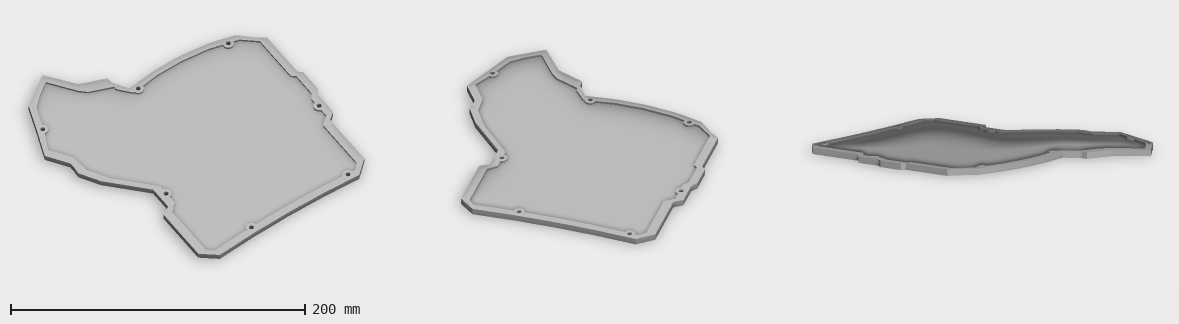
import cadquery as cq


plate_thickness = 4.5
pocket_depth = 1.5
floor_thickness = plate_thickness - pocket_depth

screw_hole_diameter = 3.3
boss_diameter = 7.5
screw_centers = [
    (33.6, 84.3),
    (92.3, 66.5),
    (90.5, -13.0),
    (33.6, -43.5),
    (-59.5, -80.0),
    (-49.7, -7.2),
    (-45.3, 64.9),
]

rim_right_bottom = (97.1, -44.0)
rim_right_middle = (95.0, 14.2)
rim_right_top = (97.1, 72.5)

rim_lower_edge = [
    (87.8, -55.4),
    (47.4, -55.4),
    (43.3, -48.8),
    (25.8, -48.8),
    (-0.5, -73.5),
    (-15.2, -82.2),
    (-20.4, -81.5),
    (-24.9, -81.5),
]
rim_thumb_area = [
    (-40.2, -92.0),
    (-60.8, -84.0),
    (-81.0, -76.3),
    (-87.5, -67.0),
    (-97.1, -53.6),
    (-76.5, -38.3),
    (-69.5, -20.8),
    (-69.0, -19.0),
    (-64.3, -19.0),
]
rim_left_side = [
    (-53.2, -12.0),
    (-55.4, 5.6),
    (-55.7, 10.9),
    (-55.7, 29.5),
    (-55.4, 34.2),
    (-53.2, 52.5),
    (-52.3, 57.1),
    (-48.0, 72.8),
]
rim_upper_edge = [
    (-37.9, 83.3),
    (-34.0, 89.2),
    (1.7, 89.2),
    (4.0, 92.0),
    (21.8, 92.0),
    (25.8, 89.2),
    (43.3, 89.2),
    (47.8, 83.3),
    (87.8, 83.3),
]

pocket_right_bottom = (92.0, -45.0)
pocket_right_middle = (89.7, 14.2)
pocket_right_top = (92.0, 72.8)

pocket_lower_edge = [
    (87.8, -49.1),
    (49.0, -49.1),
    (43.1, -43.1),
    (26.5, -43.1),
    (1.7, -65.9),
    (-2.3, -68.8),
    (-14.5, -75.8),
    (-28.2, -77.0),
]
pocket_thumb_area = [
    (-43.1, -87.2),
    (-55.4, -81.2),
    (-76.1, -73.0),
    (-84.0, -64.7),
    (-90.5, -55.2),
    (-71.7, -41.4),
    (-67.2, -36.7),
    (-60.5, -19.6),
    (-57.9, -19.6),
]
pocket_left_side = [
    (-49.0, -12.0),
    (-49.5, -3.9),
    (-51.5, 10.1),
    (-51.5, 30.1),
    (-49.1, 50.7),
    (-43.3, 72.8),
]
pocket_upper_edge = [
    (-34.2, 83.3),
    (1.7, 83.3),
    (4.3, 86.2),
    (22.1, 86.2),
    (26.5, 83.3),
    (43.5, 83.3),
    (48.5, 77.0),
    (87.8, 77.0),
]


def bowed_outline(base_height, right_bottom, right_middle, right_top, corner_points):
    """Closed outline: straight runs through the corners, then the bowed right side."""
    return (
        cq.Workplane("XY", origin=(0, 0, base_height))
        .polyline([right_bottom] + corner_points + [right_top])
        .threePointArc(right_middle, right_bottom)
        .close()
    )


def screw_cylinders(diameter):
    """Full-height cylinders at every screw position."""
    return (
        cq.Workplane("XY")
        .pushPoints(screw_centers)
        .circle(diameter / 2)
        .extrude(plate_thickness)
    )


def make_plate():
    corners = rim_lower_edge + rim_thumb_area + rim_left_side + rim_upper_edge
    outline = bowed_outline(0, rim_right_bottom, rim_right_middle, rim_right_top, corners)
    return outline.extrude(plate_thickness)


def make_pocket():
    """Volume removed inside the rim, leaving the screw bosses standing."""
    corners = pocket_lower_edge + pocket_thumb_area + pocket_left_side + pocket_upper_edge
    outline = bowed_outline(
        floor_thickness, pocket_right_bottom, pocket_right_middle, pocket_right_top, corners
    )
    bosses = screw_cylinders(boss_diameter)
    return outline.extrude(pocket_depth).cut(bosses)


result = make_plate().cut(make_pocket()).cut(screw_cylinders(screw_hole_diameter))